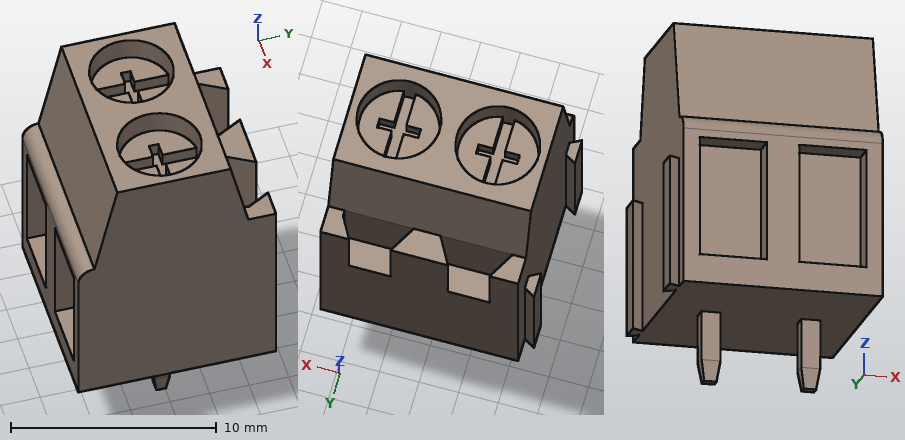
import cadquery as cq


POLE_PITCH = 5.0
POLE_XS = (-POLE_PITCH / 2, POLE_PITCH / 2)

HOUSING_WIDTH = 2 * POLE_PITCH
OVERALL_HEIGHT = 17.3
HOUSING_HEIGHT = 13.8
FRONT_Y = -4.81
BACK_Y = 5.19
TOP_FRONT_Y = -2.84
TOP_BACK_Y = 2.89
SHELF_EDGE_Y = 3.79
SHELF_Z = 9.9
BROW_RADIUS = 0.81
BROW_Z = 8.63

WINDOW_WIDTH = 3.37
WINDOW_BOTTOM_Z = 1.44
WINDOW_HEIGHT = 5.99
WINDOW_DEPTH = 1.23

RIB_PROTRUSION = 0.55
RIB_OUTER_WIDTH = 1.28
RIB_ROOT_WIDTH = 0.65
RIB_HEIGHT = 6.54
RIB_YS = (-3.62, 3.67)

POCKET_MOUTH_WIDTH = 2.1
POCKET_INNER_WIDTH = 3.65
POCKET_FLOOR_Z = RIB_HEIGHT
POCKET_MAX_X = 4.17

SCREW_RADIUS = 1.97
SCREW_LENGTH = 1.73
SCREW_RECESS = 1.15
SCREW_CLEARANCE = 0.09
SLOT_WIDTH = 0.6
CROSS_LENGTH = 2.08
CROSS_WIDTH = 0.47
DRIVE_DEPTH = 0.7
SCREW_TOP_Z = HOUSING_HEIGHT - SCREW_RECESS
SCREW_BOTTOM_Z = SCREW_TOP_Z - SCREW_LENGTH

PIN_LENGTH = OVERALL_HEIGHT - HOUSING_HEIGHT
PIN_SHANK_LENGTH = 2.47
PIN_WIDTH = 0.95
PIN_THICKNESS = 0.8
PIN_TIP_WIDTH = 0.62
PIN_TIP_THICKNESS = 0.48


def housing_block():
    """Stepped YZ profile with tapered top and rounded front brow, extruded along X."""
    brow_y = FRONT_Y + BROW_RADIUS
    return (
        cq.Workplane("YZ", origin=(-HOUSING_WIDTH / 2, 0, 0))
        .moveTo(FRONT_Y, 0)
        .lineTo(BACK_Y, 0)
        .lineTo(BACK_Y, SHELF_Z)
        .lineTo(SHELF_EDGE_Y, SHELF_Z)
        .lineTo(TOP_BACK_Y, HOUSING_HEIGHT)
        .lineTo(TOP_FRONT_Y, HOUSING_HEIGHT)
        .lineTo(brow_y, BROW_Z)
        .radiusArc((FRONT_Y, BROW_Z - BROW_RADIUS), -BROW_RADIUS)
        .close()
        .extrude(HOUSING_WIDTH)
    )


def dovetail_rib(y):
    """Vertical rib on the -X side, wider at its outer face than at its root."""
    root_x = -HOUSING_WIDTH / 2
    outer_x = root_x - RIB_PROTRUSION
    return (
        cq.Workplane("XY")
        .polyline([
            (root_x, y - RIB_ROOT_WIDTH / 2),
            (root_x, y + RIB_ROOT_WIDTH / 2),
            (outer_x, y + RIB_OUTER_WIDTH / 2),
            (outer_x, y - RIB_OUTER_WIDTH / 2),
        ])
        .close()
        .extrude(RIB_HEIGHT)
    )


def wire_window(x):
    """Rectangular blind opening in the front face."""
    return cq.Workplane("XY", origin=(x, FRONT_Y, WINDOW_BOTTOM_Z)).box(
        WINDOW_WIDTH, WINDOW_DEPTH, WINDOW_HEIGHT, centered=(True, False, False)
    )


def screw_hole(x):
    """Blind round hole from the top, leaving a thin gap around the screw."""
    return (
        cq.Workplane("XY", origin=(x, 0, SCREW_BOTTOM_Z))
        .circle(SCREW_RADIUS + SCREW_CLEARANCE)
        .extrude(HOUSING_HEIGHT - SCREW_BOTTOM_Z)
    )


def shelf_pocket(x):
    """Dovetail pocket in the rear shelf, open at the back, kept clear of the +X side."""
    pocket_depth = SHELF_Z - POCKET_FLOOR_Z
    pocket = (
        cq.Workplane("XY", origin=(x, 0, POCKET_FLOOR_Z))
        .polyline([
            (-POCKET_MOUTH_WIDTH / 2, BACK_Y),
            (POCKET_MOUTH_WIDTH / 2, BACK_Y),
            (POCKET_INNER_WIDTH / 2, SHELF_EDGE_Y),
            (-POCKET_INNER_WIDTH / 2, SHELF_EDGE_Y),
        ])
        .close()
        .extrude(pocket_depth)
    )
    side_wall = cq.Workplane("XY", origin=(POCKET_MAX_X, SHELF_EDGE_Y, POCKET_FLOOR_Z)).box(
        HOUSING_WIDTH / 2 - POCKET_MAX_X, BACK_Y - SHELF_EDGE_Y, pocket_depth, centered=False
    )
    return pocket.cut(side_wall)


def make_housing():
    """Housing block with its ribs, wire windows, screw holes and shelf pockets."""
    body = housing_block()
    for y in RIB_YS:
        body = body.union(dovetail_rib(y))
    for x in POLE_XS:
        body = body.cut(wire_window(x)).cut(screw_hole(x)).cut(shelf_pocket(x))
    return body


def drive_slot(x, length_x, length_y):
    """Rectangular slot sunk into the screw's top face."""
    return (
        cq.Workplane("XY", origin=(x, 0, SCREW_TOP_Z))
        .rect(length_x, length_y)
        .extrude(-DRIVE_DEPTH)
    )


def make_screw(x):
    """Cylindrical screw with a full-width slot along Y and a short cross slot along X."""
    body = (
        cq.Workplane("XY", origin=(x, 0, SCREW_BOTTOM_Z))
        .circle(SCREW_RADIUS)
        .extrude(SCREW_LENGTH)
    )
    main_slot = drive_slot(x, SLOT_WIDTH, 2 * SCREW_RADIUS)
    cross_slot = drive_slot(x, CROSS_LENGTH, CROSS_WIDTH)
    return body.cut(main_slot).cut(cross_slot)


def make_pin(x):
    """Rectangular pin hanging from the underside, with a tapered tip."""
    shank = (
        cq.Workplane("XY", origin=(x, 0, 0))
        .rect(PIN_WIDTH, PIN_THICKNESS)
        .extrude(-PIN_SHANK_LENGTH)
    )
    tip = (
        cq.Workplane("XY", origin=(x, 0, -PIN_SHANK_LENGTH))
        .rect(PIN_WIDTH, PIN_THICKNESS)
        .workplane(offset=PIN_SHANK_LENGTH - PIN_LENGTH)
        .rect(PIN_TIP_WIDTH, PIN_TIP_THICKNESS)
        .loft(ruled=True)
    )
    return shank.union(tip)


housing = make_housing()
screws = [make_screw(x) for x in POLE_XS]
pins = [make_pin(x) for x in POLE_XS]

result = cq.Compound.makeCompound([
    housing.solids().val(),
    *[screw.solids().val() for screw in screws],
    *[pin.solids().val() for pin in pins],
])